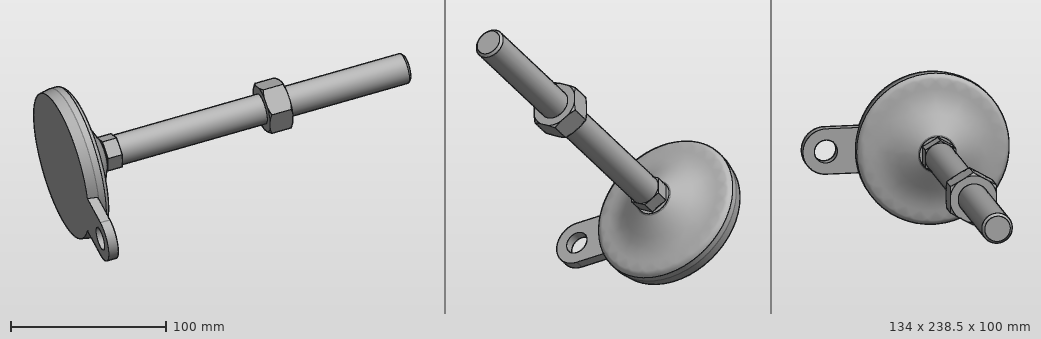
import cadquery as cq
import math

total_length = 238.5
total_width = 134.0

pad_diameter = 100.0
pad_radius = pad_diameter / 2
pad_bottom_radius = 48.7
taper_top = 7.2
rim_top = 11.7
shoulder_radius = 49.0
shoulder_height = 13.4
flare_curve = [(40.0, 15.5), (29.0, 18.4), (20.5, 23.0)]
collar_radius = 12.5
collar_height = 27.0
pad_top = 27.5
pad_top_radius = 11.7

lug_thickness = 6.7
lug_width = 30.0
lug_hole_diameter = 15.0
lug_reach = total_width - pad_radius

stud_diameter = 20.0
stud_chamfer = 1.7
neck_diameter = 17.2
flats_bottom = 28.6
flats_height = 9.8
flats_width = 20.0

nut_bottom = 138.5
nut_height = 15.7
nut_width = 30.0
nut_face_diameter = 30.8
nut_chamfer_angle = 30.0


def cylinder(diameter, bottom, top):
    """Solid cylinder along Y between two heights."""
    return cq.Workplane("XZ", origin=(0, bottom, 0)).circle(diameter / 2).extrude(bottom - top)


def hexagon(width, bottom, height):
    """Hexagonal prism along Y, with two flats facing +X and -X."""
    corner_diameter = width / math.cos(math.radians(30))
    return (
        cq.Workplane("XZ", origin=(0, bottom, 0))
        .transformed(rotate=(0, 0, 30))
        .polygon(6, corner_diameter)
        .extrude(-height)
    )


def make_pad():
    """Turned pad: tapered rim and a smooth shoulder and flare up to the collar."""
    profile = (
        cq.Workplane("XY")
        .polyline([(0, pad_top), (0, 0), (pad_bottom_radius, 0),
                   (pad_radius, taper_top), (pad_radius, rim_top)])
        .spline([(shoulder_radius, shoulder_height), *flare_curve, (collar_radius, collar_height)],
                includeCurrent=True)
        .lineTo(pad_top_radius, pad_top)
        .close()
    )
    return profile.revolve(360, (0, 0, 0), (0, 1, 0))


def make_lug():
    """Flat round-ended lug pointing along +X."""
    hole_x = lug_reach - lug_width / 2
    plate = (
        cq.Workplane("XZ")
        .center(hole_x / 2, 0)
        .rect(hole_x, lug_width)
        .extrude(-lug_thickness)
    )
    tip = cylinder(lug_width, 0, lug_thickness).translate((hole_x, 0, 0))
    hole = cylinder(lug_hole_diameter, 0, lug_thickness).translate((hole_x, 0, 0))
    return plate.union(tip).cut(hole)


def make_stud():
    """Plain stud with a chamfered end, spanner flats and a short neck into the pad."""
    shank = cylinder(stud_diameter, flats_bottom, total_length).faces(">Y").chamfer(stud_chamfer)
    neck = cylinder(neck_diameter, rim_top, flats_bottom)
    flats = hexagon(flats_width, flats_bottom, flats_height)
    return shank.union(flats).union(neck)


def make_nut():
    """Hexagonal nut with both ends coned off at the corners."""
    face_radius = nut_face_diameter / 2
    corner_radius = nut_width / 2 / math.cos(math.radians(30))
    drop = (corner_radius - face_radius) * math.tan(math.radians(nut_chamfer_angle))
    top = nut_bottom + nut_height
    envelope = (
        cq.Workplane("XY")
        .polyline([(0, nut_bottom), (face_radius, nut_bottom), (corner_radius, nut_bottom + drop),
                   (corner_radius, top - drop), (face_radius, top), (0, top)])
        .close()
        .revolve(360, (0, 0, 0), (0, 1, 0))
    )
    return hexagon(nut_width, nut_bottom, nut_height).intersect(envelope)


result = make_pad().union(make_lug()).union(make_stud()).union(make_nut())